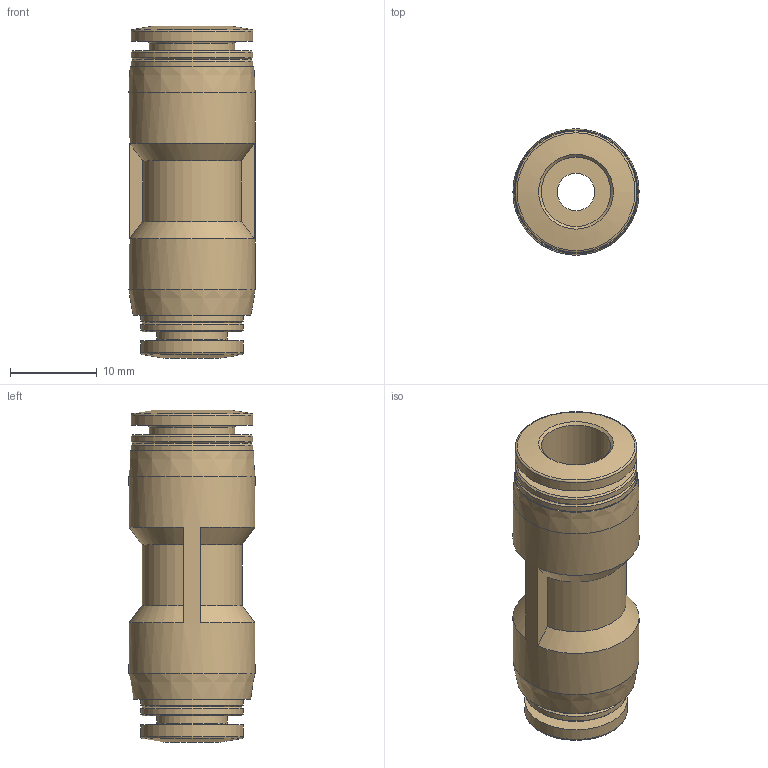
import cadquery as cq
import math

total_height = 38.18

body_radius = 14.5 / 2
waist_radius = 11.5 / 2
waist_center = 19.19
waist_length = 7.0
waist_cone_height = 2.0
rib_width = 2.0
barrel_length = 5.83
shoulder_length = 2.97
shoulder_bulge = 0.04
upper_shoulder_radius = 7.1
lower_shoulder_radius = 6.75

collar_length = 1.87
collar_chamfer = 0.2
groove_offset = 0.64
upper_collar_radius = 14.0 / 2
lower_collar_radius = 11.75 / 2

neck_fillet = 0.2
dome_height = 0.4
dome_bulge = 0.02
rim_fillet = 0.22
upper_neck_radius = 9.8 / 2
upper_disc_radius = 14.0 / 2
upper_disc_thickness = 1.78
lower_neck_radius = 8.1 / 2
lower_disc_radius = 11.8 / 2
lower_disc_thickness = 1.98

passage_radius = 4.3 / 2
upper_bore_radius = 8.0 / 2
upper_bore_depth = 17.0
lower_bore_radius = 6.0 / 2
lower_bore_depth = 16.0
mouth_chamfer = 0.3

waist_bottom = waist_center - waist_length / 2
waist_top = waist_center + waist_length / 2
lower_barrel_top = waist_bottom - waist_cone_height
lower_barrel_bottom = lower_barrel_top - barrel_length
body_bottom = lower_barrel_bottom - shoulder_length
upper_barrel_bottom = waist_top + waist_cone_height
upper_barrel_top = upper_barrel_bottom + barrel_length
body_top = upper_barrel_top + shoulder_length


def revolve(outline):
    """Close a radius-height outline and turn it about the Z axis."""
    return outline.close().revolve(360, (0, 0, 0), (0, 1, 0))


def bulged_middle(start, end, bulge):
    """Middle of a shallow arc that rises by bulge to the right of the way from start to end."""
    along_radius = end[0] - start[0]
    along_height = end[1] - start[1]
    chord = math.hypot(along_radius, along_height)
    return (
        (start[0] + end[0]) / 2 + bulge * along_height / chord,
        (start[1] + end[1]) / 2 - bulge * along_radius / chord,
    )


def make_body():
    """Two barrels with curved shoulders and a coned waist between them."""
    lower_start = (body_radius, lower_barrel_bottom)
    lower_end = (lower_shoulder_radius, body_bottom)
    upper_start = (body_radius, upper_barrel_top)
    upper_end = (upper_shoulder_radius, body_top)
    outline = (
        cq.Workplane("XZ")
        .moveTo(0, body_bottom)
        .lineTo(*lower_end)
        .threePointArc(bulged_middle(lower_end, lower_start, shoulder_bulge), lower_start)
        .lineTo(body_radius, lower_barrel_top)
        .lineTo(waist_radius, waist_bottom)
        .lineTo(waist_radius, waist_top)
        .lineTo(body_radius, upper_barrel_bottom)
        .lineTo(*upper_start)
        .threePointArc(bulged_middle(upper_start, upper_end, shoulder_bulge), upper_end)
        .lineTo(0, body_top)
    )
    return revolve(outline)


def make_ribs():
    """Plate across X that fills the waist out to the barrel radius on both sides."""
    rib_height = upper_barrel_bottom - lower_barrel_top
    rib_base = cq.Workplane("XY").workplane(offset=lower_barrel_top)
    plate = rib_base.rect(2 * body_radius, rib_width).extrude(rib_height)
    return plate.intersect(rib_base.circle(body_radius).extrude(rib_height))


def make_end(length, collar_radius, neck_radius, disc_radius, disc_thickness, mouth_radius):
    """Collar, neck and domed disc, standing on Z = 0 and ending at Z = length."""
    disc_bottom = length - disc_thickness
    rim_radius = disc_radius - rim_fillet
    dome_bottom = length - dome_height
    dome_middle = bulged_middle((rim_radius, dome_bottom), (mouth_radius, length), dome_bulge)
    outline = (
        cq.Workplane("XZ")
        .lineTo(collar_radius, 0)
        .lineTo(collar_radius, groove_offset)
        .lineTo(collar_radius - collar_chamfer, groove_offset + collar_chamfer)
        .lineTo(collar_radius, groove_offset + 2 * collar_chamfer)
        .lineTo(collar_radius, collar_length - collar_chamfer)
        .lineTo(collar_radius - collar_chamfer, collar_length)
        .lineTo(neck_radius, collar_length)
        .lineTo(neck_radius, disc_bottom - neck_fillet)
        .radiusArc((neck_radius + neck_fillet, disc_bottom), neck_fillet)
        .lineTo(disc_radius, disc_bottom)
        .lineTo(disc_radius, dome_bottom - rim_fillet)
        .radiusArc((rim_radius, dome_bottom), -rim_fillet)
        .threePointArc(dome_middle, (mouth_radius, length))
        .lineTo(0, length)
    )
    return revolve(outline)


def make_bores():
    """Stepped bore: one socket for each tube and a passage joining them."""
    upper_mouth_radius = upper_bore_radius + mouth_chamfer
    lower_mouth_radius = lower_bore_radius + mouth_chamfer
    upper_floor = total_height - upper_bore_depth
    outline = (
        cq.Workplane("XZ")
        .lineTo(lower_mouth_radius, 0)
        .lineTo(lower_bore_radius, mouth_chamfer)
        .lineTo(lower_bore_radius, lower_bore_depth)
        .lineTo(passage_radius, lower_bore_depth)
        .lineTo(passage_radius, upper_floor)
        .lineTo(upper_bore_radius, upper_floor)
        .lineTo(upper_bore_radius, total_height - mouth_chamfer)
        .lineTo(upper_mouth_radius, total_height)
        .lineTo(0, total_height)
    )
    return revolve(outline)


upper_end = make_end(
    length=total_height - body_top,
    collar_radius=upper_collar_radius,
    neck_radius=upper_neck_radius,
    disc_radius=upper_disc_radius,
    disc_thickness=upper_disc_thickness,
    mouth_radius=upper_bore_radius + mouth_chamfer,
).translate((0, 0, body_top))

lower_end = make_end(
    length=body_bottom,
    collar_radius=lower_collar_radius,
    neck_radius=lower_neck_radius,
    disc_radius=lower_disc_radius,
    disc_thickness=lower_disc_thickness,
    mouth_radius=lower_bore_radius + mouth_chamfer,
).mirror("XY").translate((0, 0, body_bottom))

body = make_body().union(make_ribs()).union(upper_end).union(lower_end)
result = body.cut(make_bores())